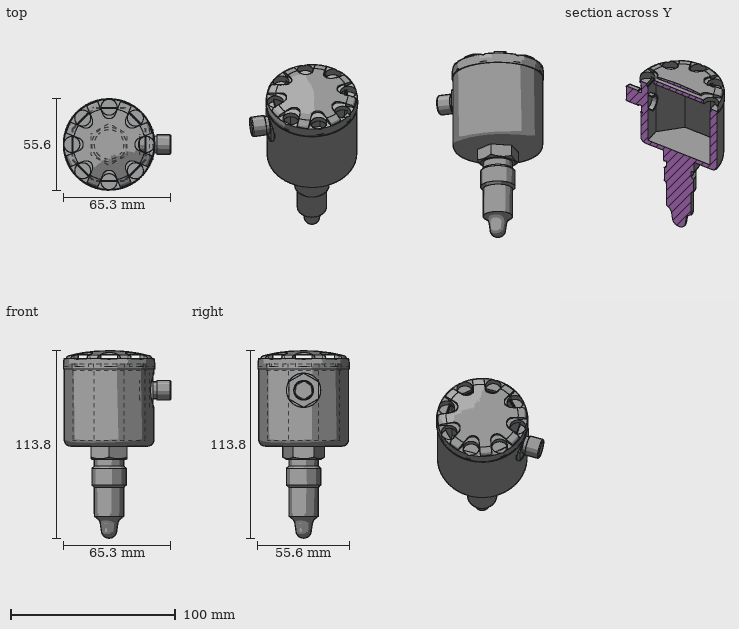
import cadquery as cq
import math

total_height = 113.81
rim_radius = 27.81
connector_reach = 37.53

nose_end_radius = 4.6
nose_end_z = 3.6
nose_cone_radius = 5.3
nose_cone_z = 8.4
shoulder_radius = 7.0
shoulder_z = 11.9
flare_hollow = 0.3
stem_radius = 9.0
stem_bottom_z = 13.3
stem_taper = 0.1
stem_taper_top_z = 14.95
collar_radius = 10.5
collar_bevel = 1.5
collar_bottom_z = 30.9
collar_top_z = 43.8

hex_sides = 6
hex_half_pitch = 180 / hex_sides
hex_across_flats = 22.0
hex_bottom_z = 47.9
hex_bevel_angle = 30.0
hex_bevel_inset = 0.6

housing_radius = 27.25
housing_bottom_z = 55.8
housing_fillet = 4.0
cavity_floor = 3.5
cavity_half_width = 21.9
cavity_recess = 0.65
cavity_recess_height = 4.0

rim_bottom_z = 102.8
rim_edge_z = 105.9
deck_z = 109.0
deck_radius = 27.3
deck_thickness = 3.2
dome_rise_to_shoulder = 2.96
dome_shoulder_radius = 24.6
dome_foot_radius = 26.9
dome_shoulder_bulge = 0.35
dome_cavity_radius = 21.9
dome_cavity_height = 2.2

opening_count = 8
opening_pitch = 360 / opening_count
slot_tip_radius = 4.0
slot_tip_centre = 19.65
slot_length = 10.0
deck_hole_diameter = 9.7
deck_hole_depth = 4.9
deck_hole_centre = 22.57

connector_z = 89.75
nut_across_flats = 18.0
nut_face_x = 26.75
nut_seat_diameter = 20.8
nut_seat_x = 24.6
connector_neck_diameter = 10.5
connector_head_diameter = 12.0
connector_head_x = 28.95
connector_chamfer = 0.7
connector_inner_x = 18.6
connector_socket_diameter = 9.7
connector_socket_depth = 6.0


def disc(radius, bottom_z, top_z):
    return cq.Workplane("XY").workplane(offset=bottom_z).circle(radius).extrude(top_z - bottom_z)


def rod_along_x(diameter, start_x, end_x):
    plane = cq.Workplane("YZ", origin=(start_x, 0, connector_z))
    return plane.circle(diameter / 2).extrude(end_x - start_x)


def revolve_about_z(profile):
    return profile.close().revolve(360, (0, 0, 0), (0, 1, 0))


def octagon(half_width, bottom_z, top_z):
    """Eight-sided prism with flats facing X and Y."""
    corner_diameter = 2 * half_width / math.cos(math.pi / opening_count)
    prism = cq.Workplane("XY").workplane(offset=bottom_z)
    prism = prism.polygon(opening_count, corner_diameter).extrude(top_z - bottom_z)
    return prism.rotate((0, 0, 0), (0, 0, 1), opening_pitch / 2)


def make_stem():
    """Rounded nose, flared shoulder, cylindrical stem and bevelled collar."""
    nose_radius = (nose_end_radius**2 + nose_end_z**2) / (2 * nose_end_z)
    nose_mid = nose_end_radius / 2
    nose_mid_z = nose_radius - math.sqrt(nose_radius**2 - nose_mid**2)
    flare_mid_radius = (nose_cone_radius + shoulder_radius) / 2 - flare_hollow
    flare_mid_z = (nose_cone_z + shoulder_z) / 2 + flare_hollow
    profile = (
        cq.Workplane("XZ")
        .moveTo(0, 0)
        .threePointArc((nose_mid, nose_mid_z), (nose_end_radius, nose_end_z))
        .lineTo(nose_cone_radius, nose_cone_z)
        .threePointArc((flare_mid_radius, flare_mid_z), (shoulder_radius, shoulder_z))
        .lineTo(stem_radius - stem_taper, stem_bottom_z)
        .lineTo(stem_radius, stem_taper_top_z)
        .lineTo(stem_radius, collar_bottom_z)
        .lineTo(collar_radius, collar_bottom_z + collar_bevel)
        .lineTo(collar_radius, collar_top_z - collar_bevel)
        .lineTo(stem_radius, collar_top_z)
        .lineTo(stem_radius, housing_bottom_z)
        .lineTo(0, housing_bottom_z)
    )
    return revolve_about_z(profile)


def make_hexagon():
    """Hexagon with flats facing X; its lower corners are turned off by a cone."""
    corner_radius = hex_across_flats / math.sqrt(3)
    hexagon = cq.Workplane("XY").workplane(offset=hex_bottom_z).polygon(hex_sides, 2 * corner_radius)
    hexagon = hexagon.extrude(housing_bottom_z - hex_bottom_z).rotate((0, 0, 0), (0, 0, 1), hex_half_pitch)
    face_radius = hex_across_flats / 2 - hex_bevel_inset
    cone_rise = (corner_radius - face_radius) * math.tan(math.radians(hex_bevel_angle))
    envelope = (
        cq.Workplane("XZ")
        .moveTo(0, hex_bottom_z)
        .lineTo(face_radius, hex_bottom_z)
        .lineTo(corner_radius, hex_bottom_z + cone_rise)
        .lineTo(corner_radius, housing_bottom_z)
        .lineTo(0, housing_bottom_z)
    )
    return hexagon.intersect(revolve_about_z(envelope))


def make_housing():
    """Solid cup body with a rounded bottom edge and a sunk round seat for the connector nut."""
    housing = disc(housing_radius, housing_bottom_z, rim_edge_z)
    housing = housing.faces("<Z").edges().fillet(housing_fillet)
    nut_seat = rod_along_x(nut_seat_diameter, nut_seat_x, rim_radius)
    return housing.cut(nut_seat)


def cut_cavity(body):
    ceiling_z = deck_z - deck_thickness
    cavity = octagon(cavity_half_width, housing_bottom_z + cavity_floor, ceiling_z)
    recess = octagon(cavity_half_width + cavity_recess, ceiling_z - cavity_recess_height, ceiling_z)
    return body.cut(cavity).cut(recess)


def make_rim():
    profile = (
        cq.Workplane("XZ")
        .moveTo(0, rim_bottom_z)
        .lineTo(rim_radius, rim_bottom_z)
        .lineTo(rim_radius, rim_edge_z)
        .lineTo(deck_radius, deck_z)
        .lineTo(0, deck_z)
    )
    return revolve_about_z(profile)


def make_slot():
    """Cutter for one opening: round inner tip, sides spreading by half the opening pitch."""
    spread = math.radians(opening_pitch / 2)
    side_x = slot_tip_centre - slot_tip_radius * math.sin(spread)
    side_y = slot_tip_radius * math.cos(spread)
    end_x = slot_tip_centre + slot_length
    end_y = side_y + (end_x - side_x) * math.tan(spread)
    return (
        cq.Workplane("XY")
        .workplane(offset=deck_z)
        .moveTo(end_x, -end_y)
        .lineTo(side_x, -side_y)
        .threePointArc((slot_tip_centre - slot_tip_radius, 0), (side_x, side_y))
        .lineTo(end_x, end_y)
        .close()
        .extrude(total_height - deck_z)
    )


def make_dome():
    """Hollow shallow dome, cut by the openings into a crown of eight arms."""
    shoulder_top_z = total_height - dome_rise_to_shoulder
    dome_radius = (dome_shoulder_radius**2 + dome_rise_to_shoulder**2) / (2 * dome_rise_to_shoulder)
    mid_x = dome_shoulder_radius / 2
    mid_z = total_height - dome_radius + math.sqrt(dome_radius**2 - mid_x**2)
    shoulder_mid_x = (dome_shoulder_radius + dome_foot_radius) / 2 + dome_shoulder_bulge
    shoulder_mid_z = (shoulder_top_z + deck_z) / 2 + dome_shoulder_bulge
    profile = (
        cq.Workplane("XZ")
        .moveTo(0, deck_z)
        .lineTo(dome_foot_radius, deck_z)
        .threePointArc((shoulder_mid_x, shoulder_mid_z), (dome_shoulder_radius, shoulder_top_z))
        .threePointArc((mid_x, mid_z), (0, total_height))
    )
    dome = revolve_about_z(profile)
    dome = dome.cut(disc(dome_cavity_radius, deck_z, deck_z + dome_cavity_height))
    slot = make_slot()
    for index in range(opening_count):
        dome = dome.cut(slot.rotate((0, 0, 0), (0, 0, 1), index * opening_pitch))
    return dome


def cut_deck_holes(body):
    holes = (
        cq.Workplane("XY")
        .workplane(offset=deck_z - deck_hole_depth)
        .polarArray(deck_hole_centre, 0, 360, opening_count)
        .circle(deck_hole_diameter / 2)
        .extrude(deck_hole_depth)
    )
    return body.cut(holes)


def make_connector():
    """Nut seated in the housing wall with a necked round plug through it."""
    nut_start_x = cavity_half_width + cavity_recess
    nut = cq.Workplane("YZ", origin=(nut_start_x, 0, connector_z))
    nut = nut.polygon(hex_sides, nut_across_flats * 2 / math.sqrt(3))
    nut = nut.extrude(nut_face_x - nut_start_x)
    nut = nut.rotate((0, 0, connector_z), (1, 0, connector_z), hex_half_pitch)
    neck = rod_along_x(connector_neck_diameter, nut_face_x, connector_head_x)
    head = rod_along_x(connector_head_diameter, connector_head_x, connector_reach)
    head = head.faces(">X").edges().chamfer(connector_chamfer)
    inner_end = rod_along_x(connector_head_diameter, connector_inner_x, nut_face_x)
    socket_end_x = connector_inner_x + connector_socket_depth
    socket = rod_along_x(connector_socket_diameter, connector_inner_x, socket_end_x)
    return nut.union(neck).union(head).union(inner_end).cut(socket)


result = make_housing().union(make_rim())
result = cut_cavity(result)
result = cut_deck_holes(result)
result = result.union(make_dome())
result = result.union(make_hexagon()).union(make_stem())
result = result.union(make_connector())